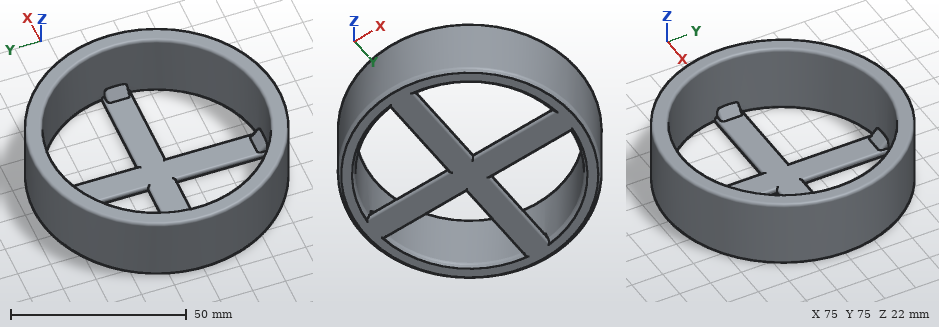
import cadquery as cq

outer_radius = 37.5
inner_radius = 32.5
ring_height = 22.0
top_round = 1.0
bottom_chamfer = 1.0
chamfer_blend = 1.0
mid_radius = (outer_radius + inner_radius) / 2

bar_width = 8.5
bar_thickness = 2.0
bar_round = 0.75

block_width = bar_width - 2 * bar_round
block_length = 3.0
block_height = 3.0
block_round = 0.9


def make_ring():
    ring = cq.Workplane("XY").circle(outer_radius).circle(inner_radius).extrude(ring_height)
    ring = ring.faces(">Z").edges().fillet(top_round)
    ring = ring.faces("<Z").edges().chamfer(bottom_chamfer)
    chamfer_tops = cq.selectors.BoxSelector(
        (-outer_radius, -outer_radius, bottom_chamfer / 2),
        (outer_radius, outer_radius, bottom_chamfer * 2),
    )
    return ring.edges(chamfer_tops).fillet(chamfer_blend)


def make_cross():
    bar_length = 2 * mid_radius
    bar = cq.Workplane("XY").box(bar_length, bar_width, bar_thickness, centered=(True, True, False))
    cross = bar.union(bar.rotate((0, 0, 0), (0, 0, 1), 90))
    long_edges = cq.selectors.BoxSelector(
        (-inner_radius, -inner_radius, -bar_thickness),
        (inner_radius, inner_radius, 2 * bar_thickness),
    )
    return cross.faces("|Z").edges(long_edges).fillet(bar_round)


def make_block():
    """Wedge rising outwards along +X, with its two slope edges rounded."""
    toe = inner_radius - block_length
    slope = block_height / block_length
    block_top = bar_thickness + slope * (mid_radius - toe)
    wedge = (
        cq.Workplane("XZ")
        .moveTo(toe, bar_thickness)
        .lineTo(mid_radius, block_top)
        .lineTo(mid_radius, bar_thickness)
        .close()
        .extrude(block_width / 2, both=True)
    )
    return wedge.edges("not(|Y or |X or |Z)").fillet(block_round)


result = make_ring().union(make_cross())
for quarter in range(4):
    result = result.union(make_block().rotate((0, 0, 0), (0, 0, 1), 90 * quarter))